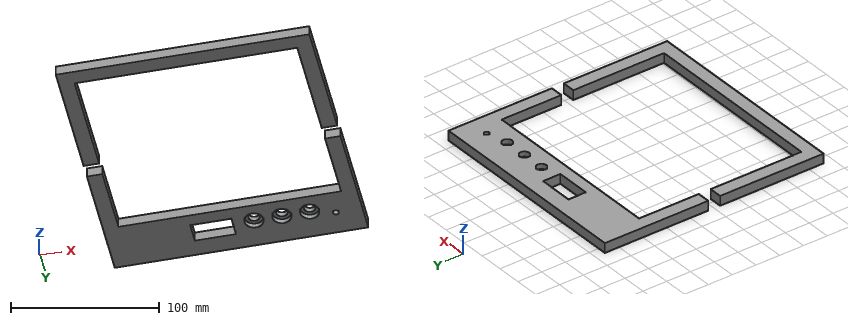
import cadquery as cq

frame_width = 174.7
frame_length = 184.2
thickness = 8.0
rail_width = 10.7
header_depth = 36.8
split_gap = 10.0

half_length = (frame_length - split_gap) / 2
rear_edge = frame_length / 2
inner_width = frame_width - 2 * rail_width

display_width = 28.4
display_height = 14.5
display_center_x = -15.1
display_center_y = rear_edge - 20.5

control_diameter = 8.0
control_count = 3
control_pitch = 19.2
first_control_x = 13.6
control_recess_diameter = 13.0
control_lip_thickness = 4.0
control_y = rear_edge - 22.8

indicator_diameter = 4.0
indicator_x = 69.0
indicator_y = rear_edge - 18.5


def u_frame(web_depth):
    """U-shaped plate with its web along y = 0 and its two arms toward +Y."""
    plate = cq.Workplane("XY").box(frame_width, half_length, thickness, centered=(True, False, False))
    opening = (
        cq.Workplane("XY")
        .box(inner_width, half_length - web_depth, thickness, centered=(True, False, False))
        .translate((0, web_depth, 0))
    )
    return plate.cut(opening)


def hole_cutters(centers, diameter, depth):
    """Vertical cylinders that rise from the underside to the given depth."""
    return cq.Workplane("XY").pushPoints(centers).circle(diameter / 2).extrude(depth)


def make_front_frame():
    return u_frame(rail_width).translate((0, -frame_length / 2, 0))


def make_control_frame():
    frame = u_frame(header_depth).mirror("XZ").translate((0, rear_edge, 0))
    display_window = (
        cq.Workplane("XY")
        .center(display_center_x, display_center_y)
        .rect(display_width, display_height)
        .extrude(thickness)
    )
    control_centers = [(first_control_x + i * control_pitch, control_y) for i in range(control_count)]
    control_holes = hole_cutters(control_centers, control_diameter, thickness)
    recess_depth = thickness - control_lip_thickness
    control_recesses = hole_cutters(control_centers, control_recess_diameter, recess_depth)
    indicator_hole = hole_cutters([(indicator_x, indicator_y)], indicator_diameter, thickness)
    return frame.cut(display_window).cut(control_holes).cut(control_recesses).cut(indicator_hole)


front_frame = make_front_frame()
control_frame = make_control_frame()

result = cq.Compound.makeCompound([front_frame.val(), control_frame.val()])